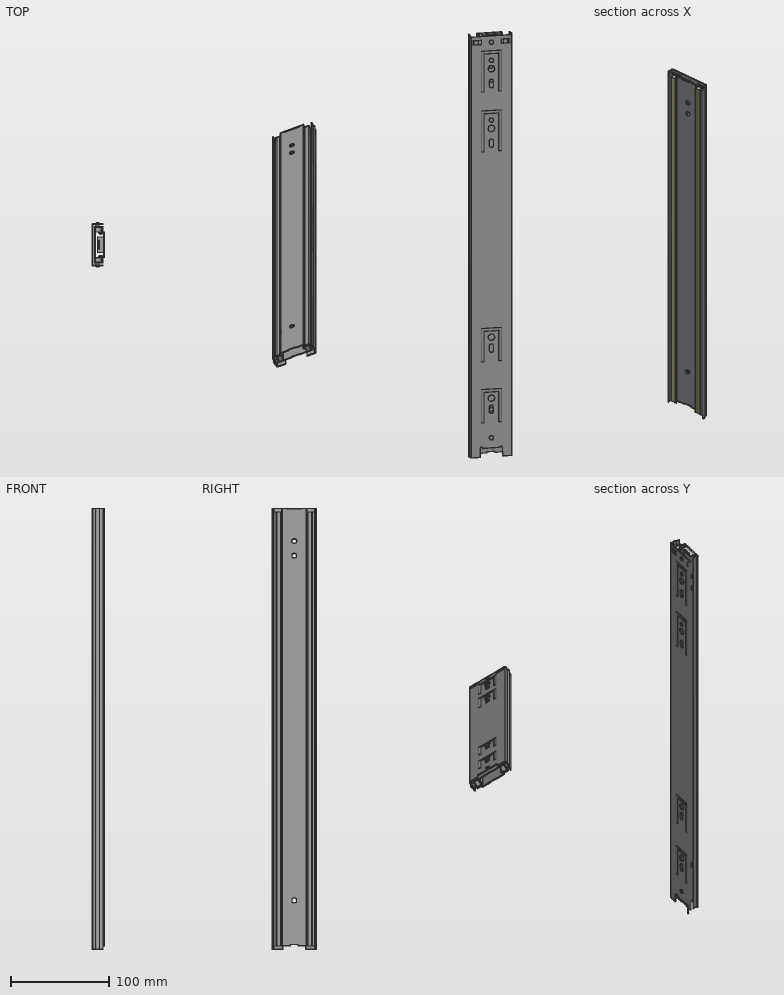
import cadquery as cq


length = 450.0
total_depth = 12.5
total_width = 45.5
sheet = 1.0
back_x = -total_depth / 2
front_x = total_depth / 2
bottom_z = -length / 2

race_bulge = 1.0
outer_half_width = total_width / 2 - race_bulge
outer_tip_x = 5.0
outer_corner_radius = 1.12
race_start_x = -2.5
race_end_x = 1.5
race_mid_x = (race_start_x + race_end_x) / 2

middle_back_x = -3.5
middle_half_width = 18.5
middle_tip_x = 5.0
middle_lip_height = 4.5

inner_half_width = 13.0
inner_tip_x = 0.0
inner_race_start_x = 0.68
inner_race_end_x = 4.28
inner_race_depth = 1.5

moving_bottom_z = -221.5
middle_top_z = 221.5
inner_top_z = length / 2
end_relief_width = 8.0
end_relief_depth = 1.12

tab_width = 16.0
tab_back_x = -1.0
tab_slot_x = 0.68
tab_slot_width = 0.5
tab_slot_length = 9.0

outer_retainer_end_x = 1.0
inner_retainer_end_x = 3.0

groove_outer_half_width = 10.5
groove_leg_width = 2.5
groove_bar_height = 3.0
groove_depth = 0.68
upper_groove_length = 43.5
lower_groove_length = 35.5
upper_station_tops = [209.2, 145.5]
lower_station_tops = [-87.5, -152.5]
small_hole_diameter = 4.5
large_hole_diameter = 6.8
mount_slot_width = 4.5
mount_slot_length = 9.0
upper_small_hole_drop = 10.5
upper_large_hole_drop = 19.5
upper_slot_drop = 35.0
lower_large_hole_drop = 10.0
lower_slot_drop = 21.5

end_hole_heights = [218.2, -204.8]
end_hole_diameter = 4.5
window_center_y = 15.0
window_center_z = 218.5
window_width = 9.0
window_height = 4.5
notch_width = 23.5
notch_depth = 9.5
notch_relief_radius = 1.5

access_hole_heights = [191.5, 177.0, -175.0]
access_hole_diameter = 5.0


def box(x_range, y_range, z_range):
    """Box between the given limits along X, Y and Z."""
    size = [high - low for low, high in (x_range, y_range, z_range)]
    low_corner = (x_range[0], y_range[0], z_range[0])
    return cq.Workplane("XY").box(*size, centered=False).translate(low_corner)


def mirrored_pair(body):
    """The body and its mirror image about the XZ plane."""
    return [body, body.mirror("XZ")]


def web_hole(diameter, z, y=0.0, depth=sheet):
    """Cylinder along X from the outer web face, to cut a round hole."""
    return cq.Workplane("YZ", origin=(back_x, 0, 0)).center(y, z).circle(diameter / 2).extrude(depth)


def end_relief():
    """Shallow relief cut from the middle of the lower end of a sliding rail."""
    return box(
        (back_x, front_x),
        (-end_relief_width / 2, end_relief_width / 2),
        (moving_bottom_z, moving_bottom_z + end_relief_depth),
    )


def cut_sliding_rail(rail):
    """Cut the access holes and the end relief shared by the sliding rails."""
    for z in access_hole_heights:
        rail = rail.cut(web_hole(access_hole_diameter, z, depth=total_depth))
    return rail.cut(end_relief())


def outer_channel():
    """C-channel open toward +X, its flanges bulged outward into ball races."""
    web_x = back_x + sheet
    inside = outer_half_width - sheet
    blank = box((back_x, outer_tip_x), (-outer_half_width, outer_half_width), (bottom_z, -bottom_z))
    blank = blank.edges("|Z and <X").fillet(outer_corner_radius)
    hollow = box((web_x, outer_tip_x), (-inside, inside), (bottom_z, -bottom_z))
    channel = blank.cut(hollow)
    for side in (1, -1):
        outside_bulge = race_segment(side * outer_half_width, side * race_bulge)
        inside_bulge = race_segment(side * inside, side * race_bulge)
        channel = channel.union(outside_bulge).cut(inside_bulge)
    return channel


def race_segment(base_y, height):
    """Full-length circular segment standing on a flange surface of the outer rail."""
    return (
        cq.Workplane("XY", origin=(0, 0, bottom_z))
        .moveTo(race_start_x, base_y)
        .threePointArc((race_mid_x, base_y + height), (race_end_x, base_y))
        .close()
        .extrude(length)
    )


def station_groove(top_z, groove_length):
    """U-shaped groove around a mounting tongue: flat bar on top, legs that slope down inward."""
    tongue_half_width = groove_outer_half_width - groove_leg_width
    leg = (
        cq.Workplane("XY", origin=(0, 0, top_z - groove_length))
        .polyline(
            [
                (back_x, groove_outer_half_width),
                (back_x, tongue_half_width),
                (back_x + groove_depth, tongue_half_width),
            ]
        )
        .close()
        .extrude(groove_length)
    )
    bar = box(
        (back_x, back_x + groove_depth),
        (-tongue_half_width, tongue_half_width),
        (top_z - groove_bar_height, top_z),
    )
    return bar.union(leg).union(leg.mirror("XZ"))


def mount_slot(z):
    """Upright slot through the web with rounded ends."""
    return (
        cq.Workplane("YZ", origin=(back_x, 0, 0))
        .center(0, z)
        .slot2D(mount_slot_length, mount_slot_width, 90)
        .extrude(sheet)
    )


def bottom_notch():
    """Rectangular notch in the lower end of the outer web, with round corner reliefs."""
    half_width = notch_width / 2
    top_z = bottom_z + notch_depth
    web_range = (back_x, back_x + sheet)
    notch = box(web_range, (-half_width, half_width), (bottom_z, top_z))
    for side in (1, -1):
        relief_y = side * (half_width - notch_relief_radius)
        notch = notch.union(web_hole(2 * notch_relief_radius, top_z, relief_y))
    return notch


def outer_rail():
    rail = outer_channel()
    for top_z in upper_station_tops:
        rail = rail.cut(station_groove(top_z, upper_groove_length))
        rail = rail.cut(web_hole(small_hole_diameter, top_z - upper_small_hole_drop))
        rail = rail.cut(web_hole(large_hole_diameter, top_z - upper_large_hole_drop))
        rail = rail.cut(mount_slot(top_z - upper_slot_drop))
    for top_z in lower_station_tops:
        rail = rail.cut(station_groove(top_z, lower_groove_length))
        rail = rail.cut(web_hole(large_hole_diameter, top_z - lower_large_hole_drop))
        rail = rail.cut(mount_slot(top_z - lower_slot_drop))
    for z in end_hole_heights:
        rail = rail.cut(web_hole(end_hole_diameter, z))
    window = box(
        (back_x, back_x + sheet),
        (window_center_y - window_width / 2, window_center_y + window_width / 2),
        (window_center_z - window_height / 2, window_center_z + window_height / 2),
    )
    for opening in mirrored_pair(window):
        rail = rail.cut(opening)
    return rail.cut(bottom_notch())


def middle_rail():
    """C-channel open toward +X, with a lip turned inward at each flange tip."""
    web_x = middle_back_x + sheet
    inside = middle_half_width - sheet
    lip_x = middle_tip_x - sheet
    lip_y = middle_half_width - middle_lip_height
    upper_half = [
        (middle_back_x, middle_half_width),
        (middle_tip_x, middle_half_width),
        (middle_tip_x, lip_y),
        (lip_x, lip_y),
        (lip_x, inside),
        (web_x, inside),
    ]
    lower_half = [(x, -y) for x, y in reversed(upper_half)]
    rail = (
        cq.Workplane("XY", origin=(0, 0, moving_bottom_z))
        .polyline(upper_half + lower_half)
        .close()
        .extrude(middle_top_z - moving_bottom_z)
    )
    return cut_sliding_rail(rail)


def inner_channel():
    """C-channel open toward -X, its flanges dented inward into ball races."""
    inside = inner_half_width - sheet
    race_x = (inner_race_start_x + inner_race_end_x) / 2

    def half_profile(side):
        return (
            cq.Workplane("XY", origin=(0, 0, moving_bottom_z))
            .moveTo(front_x, 0)
            .lineTo(front_x, side * inner_half_width)
            .lineTo(inner_race_end_x, side * inner_half_width)
            .threePointArc(
                (race_x, side * (inner_half_width - inner_race_depth)),
                (inner_race_start_x, side * inner_half_width),
            )
            .lineTo(inner_tip_x, side * inner_half_width)
            .lineTo(inner_tip_x, side * inside)
            .lineTo(inner_race_start_x, side * inside)
            .threePointArc(
                (race_x, side * (inside - inner_race_depth)),
                (inner_race_end_x, side * inside),
            )
            .lineTo(front_x - sheet, side * inside)
            .lineTo(front_x - sheet, 0)
            .close()
            .extrude(inner_top_z - moving_bottom_z)
        )

    return half_profile(1).union(half_profile(-1)).clean()


def stop_tab():
    """Slotted tab folded from the top of the inner web toward -X."""
    z_range = (inner_top_z - sheet, inner_top_z)
    tab = box((tab_back_x, front_x - sheet), (-tab_width / 2, tab_width / 2), z_range)
    slot = box(
        (tab_slot_x - tab_slot_width / 2, tab_slot_x + tab_slot_width / 2),
        (-tab_slot_length / 2, tab_slot_length / 2),
        z_range,
    )
    return tab.cut(slot)


def inner_rail():
    return cut_sliding_rail(inner_channel().union(stop_tab()))


def outer_retainers():
    """Two strips filling the race gap between the outer and intermediate flanges."""
    strip = box(
        (race_start_x, outer_retainer_end_x),
        (middle_half_width, outer_half_width - sheet),
        (moving_bottom_z, middle_top_z),
    )
    return mirrored_pair(strip)


def inner_retainers():
    """Two strips filling the race gap between the intermediate and inner flanges."""
    strip = box(
        (middle_back_x + sheet, inner_retainer_end_x),
        (inner_half_width, middle_half_width - sheet),
        (moving_bottom_z, middle_top_z),
    )
    return mirrored_pair(strip)


bodies = [outer_rail(), middle_rail(), inner_rail(), *outer_retainers(), *inner_retainers()]
result = cq.Compound.makeCompound([body.val() for body in bodies])